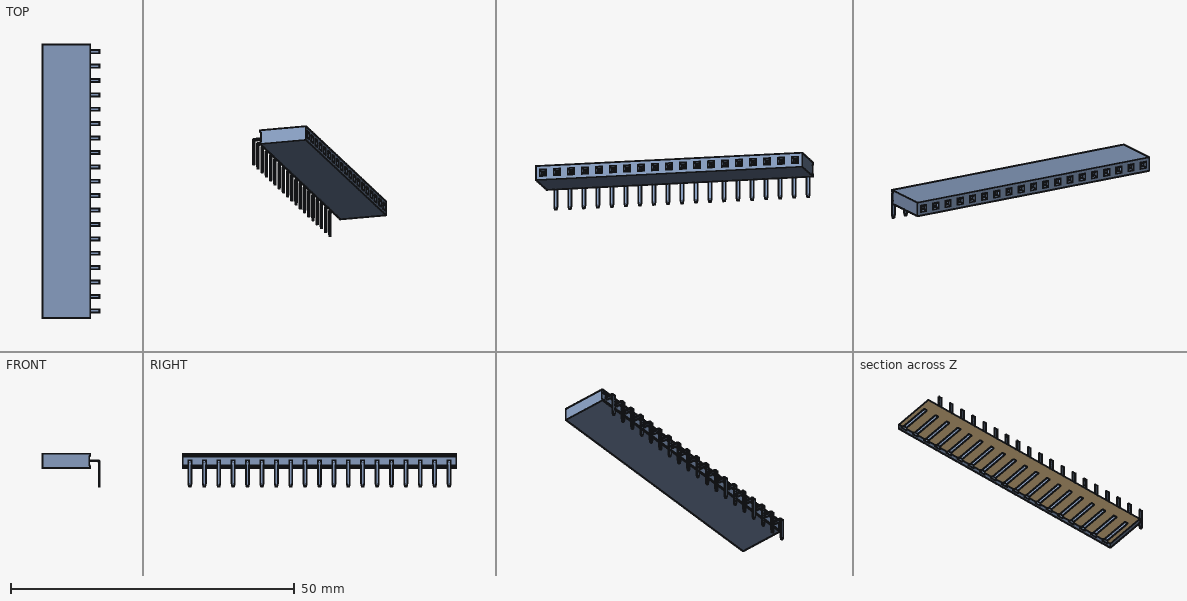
import cadquery as cq

pin_count = 19
pitch = 2.54
total_depth = 10.13
total_height = 5.84

housing_depth = 8.5
housing_height = 2.54
housing_length = pin_count * pitch

groove_depth = 0.2
groove_lip = 0.25
groove_slope = 0.3

mouth_size = 1.2
throat_size = 0.6
lead_in_depth = (mouth_size - throat_size) / 2
socket_depth = 6.0

strip_thickness = 0.2
pin_width = 0.6
bend_radius = 0.3
tip_length = 0.6
tip_width = 0.3
contact_start = 2.0

housing_top = housing_height / 2
pin_bottom = housing_top - total_height
row_start = -(pin_count - 1) * pitch / 2
pin_positions = [row_start + i * pitch for i in range(pin_count)]


def make_housing():
    """Long bar with a shallow sloped-wall groove along its rear face."""
    groove_floor = housing_depth - groove_depth
    groove_edge = housing_top - groove_lip
    floor_edge = groove_edge - groove_slope
    return (
        cq.Workplane("XZ")
        .moveTo(0, -housing_top)
        .lineTo(housing_depth, -housing_top)
        .lineTo(housing_depth, -groove_edge)
        .lineTo(groove_floor, -floor_edge)
        .lineTo(groove_floor, floor_edge)
        .lineTo(housing_depth, groove_edge)
        .lineTo(housing_depth, housing_top)
        .lineTo(0, housing_top)
        .close()
        .extrude(housing_length / 2, both=True)
    )


def make_socket(y):
    """Cutter for one socket: square tapered lead-in followed by a straight square hole."""
    lead_in = (
        cq.Workplane("YZ")
        .center(y, 0)
        .rect(mouth_size, mouth_size)
        .workplane(offset=lead_in_depth)
        .rect(throat_size, throat_size)
        .loft(ruled=True)
    )
    hole = cq.Workplane("YZ").center(y, 0).rect(throat_size, throat_size).extrude(socket_depth)
    return lead_in.union(hole)


def make_pin(y):
    """Right-angle strip pin: flat contact inside the socket, bent leg with a tapered tip."""
    half_strip = strip_thickness / 2
    half_width = pin_width / 2
    leg_inner_x = total_depth - strip_thickness
    bend_start_x = total_depth - bend_radius
    bend_end_z = half_strip - bend_radius
    inner_bend_radius = bend_radius - strip_thickness
    strip = (
        cq.Workplane("XZ", origin=(0, y, 0))
        .moveTo(contact_start, half_strip)
        .lineTo(bend_start_x, half_strip)
        .radiusArc((total_depth, bend_end_z), bend_radius)
        .lineTo(total_depth, pin_bottom)
        .lineTo(leg_inner_x, pin_bottom)
        .lineTo(leg_inner_x, bend_end_z)
        .radiusArc((bend_start_x, -half_strip), -inner_bend_radius)
        .lineTo(contact_start, -half_strip)
        .close()
        .extrude(half_width, both=True)
    )
    leg_outline = (
        cq.Workplane("YZ")
        .moveTo(y - tip_width / 2, pin_bottom)
        .lineTo(y + tip_width / 2, pin_bottom)
        .lineTo(y + half_width, pin_bottom + tip_length)
        .lineTo(y + half_width, half_strip)
        .lineTo(y - half_width, half_strip)
        .lineTo(y - half_width, pin_bottom + tip_length)
        .close()
        .extrude(total_depth)
    )
    return strip.intersect(leg_outline)


result = make_housing()
for pin_y in pin_positions:
    result = result.cut(make_socket(pin_y)).union(make_pin(pin_y))